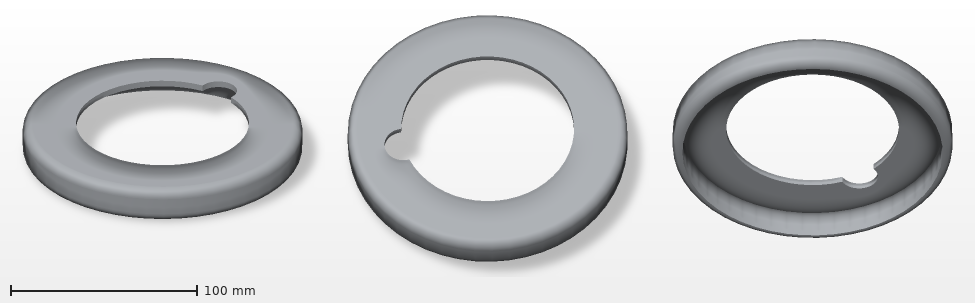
import cadquery as cq

outer_diameter = 150.0
height = 19.0
edge_radius = 5.0

plate_thickness = 3.5
cavity_radius = 69.8

bore_radius = 46.4
notch_radius = 10.0
notch_center_y = bore_radius


def rounded_disc():
    """Solid disc with both outer rims rounded, resting on Z = 0."""
    disc = cq.Workplane("XY").circle(outer_diameter / 2).extrude(height)
    return disc.edges("%CIRCLE").fillet(edge_radius)


def underside_cavity():
    """Round recess open at the bottom that leaves the top plate and outer wall."""
    return cq.Workplane("XY").circle(cavity_radius).extrude(height - plate_thickness)


def keyed_bore():
    """Central bore with a round notch on its +Y side."""
    bore = cq.Workplane("XY").circle(bore_radius).extrude(height)
    notch = cq.Workplane("XY").center(0, notch_center_y).circle(notch_radius).extrude(height)
    return bore.union(notch)


result = rounded_disc().cut(underside_cavity()).cut(keyed_bore())